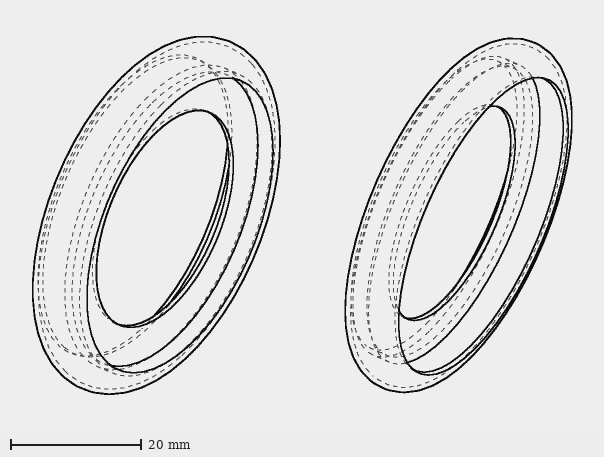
import cadquery as cq

outer_radius = 29.0
depth = 9.0
wall = 0.8
hole_radius = 17.75
hub_radius = 24.95
washer_front = 0.8
lip_flare = 0.145

rim_radius = depth / 2
cavity_radius = rim_radius - wall
rim_center = outer_radius - rim_radius
lip_edge_radius = rim_center + lip_flare
lip_edge_x = -((rim_radius**2 - lip_flare**2) ** 0.5)

recess_radius = hub_radius - wall
washer_back = washer_front + wall
hub_joint_x = (cavity_radius**2 - (hub_radius - rim_center) ** 2) ** 0.5

section = (
    cq.Workplane("XY")
    .moveTo(lip_edge_x, lip_edge_radius)
    .threePointArc((0, outer_radius), (rim_radius, rim_center))
    .lineTo(rim_radius, recess_radius)
    .lineTo(washer_back, recess_radius)
    .lineTo(washer_back, hole_radius)
    .lineTo(washer_front, hole_radius)
    .lineTo(washer_front, hub_radius)
    .lineTo(hub_joint_x, hub_radius)
    .threePointArc((0, rim_center + cavity_radius), (-cavity_radius, rim_center))
    .close()
)

result = section.revolve(360, (0, 0, 0), (1, 0, 0))